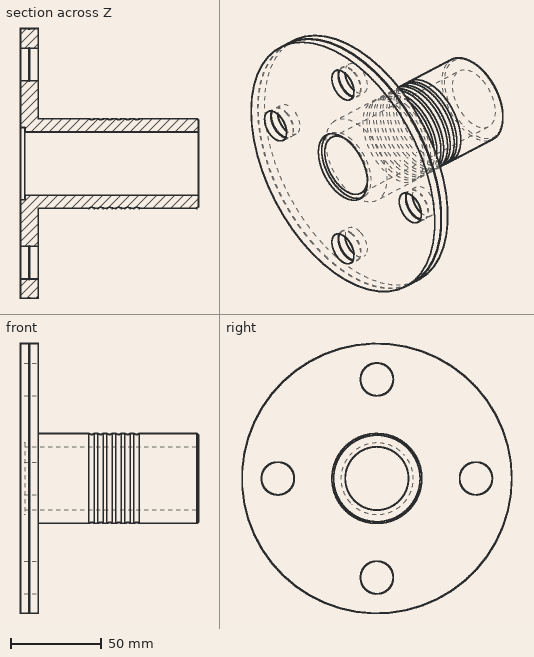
import cadquery as cq
total_length = 99.0
flange_diameter = 150.0
flange_thickness = 9.95

seam_width = 0.5
seam_depth = 0.25

spigot_diameter = 50.0
end_chamfer = 1.0

groove_count = 6
groove_pitch = 5.0
groove_width = 3.0
groove_depth = 0.5
first_groove_start = 38.1

bore_diameter = 35.0
recess_diameter = 40.0
recess_depth = 2.5

bolt_hole_count = 4
bolt_hole_diameter = 18.0
bolt_circle_diameter = 110.0


def cylinder_along_x(diameter, start, length):
    return cq.Workplane("YZ").workplane(offset=start).circle(diameter / 2).extrude(length)


def make_body():
    """Flange at X = 0 with the chamfered spigot on its +X side."""
    flange = cylinder_along_x(flange_diameter, 0, flange_thickness)
    spigot = cylinder_along_x(spigot_diameter, 0, total_length)
    spigot = spigot.faces(">X").chamfer(end_chamfer)
    return flange.union(spigot)


def make_seam(edge_radius, floor_radius):
    """Ring of triangular section about the X axis, from its open edge to its floor."""
    middle = flange_thickness / 2
    return (
        cq.Workplane("XY")
        .moveTo(middle - seam_width / 2, edge_radius)
        .lineTo(middle, floor_radius)
        .lineTo(middle + seam_width / 2, edge_radius)
        .close()
        .revolve(360, (0, 0, 0), (1, 0, 0))
    )


def make_rim_seam():
    rim_radius = flange_diameter / 2
    return make_seam(rim_radius, rim_radius - seam_depth)


def make_groove(start):
    """Ring with a circular-arc section, revolved about the X axis."""
    surface_radius = spigot_diameter / 2
    middle = start + groove_width / 2
    end = start + groove_width
    return (
        cq.Workplane("XY")
        .moveTo(start, surface_radius)
        .threePointArc((middle, surface_radius - groove_depth), (end, surface_radius))
        .lineTo(end, surface_radius + groove_depth)
        .lineTo(start, surface_radius + groove_depth)
        .close()
        .revolve(360, (0, 0, 0), (1, 0, 0))
    )


def make_bolt_holes():
    """Through holes on the Y and Z axes of the flange, each with a seam in its wall."""
    hole_radius = bolt_hole_diameter / 2
    hole = cylinder_along_x(bolt_hole_diameter, 0, flange_thickness)
    hole = hole.union(make_seam(hole_radius, hole_radius + seam_depth))
    first_hole = hole.translate((0, bolt_circle_diameter / 2, 0))
    holes = cq.Workplane("YZ")
    for index in range(bolt_hole_count):
        angle = index * 360 / bolt_hole_count
        holes = holes.add(first_hole.rotate((0, 0, 0), (1, 0, 0), angle))
    return holes.combine()


result = make_body()
result = result.cut(make_rim_seam())
for index in range(groove_count):
    result = result.cut(make_groove(first_groove_start + index * groove_pitch))
result = result.cut(make_bolt_holes())
result = result.cut(cylinder_along_x(bore_diameter, 0, total_length))
result = result.cut(cylinder_along_x(recess_diameter, 0, recess_depth))